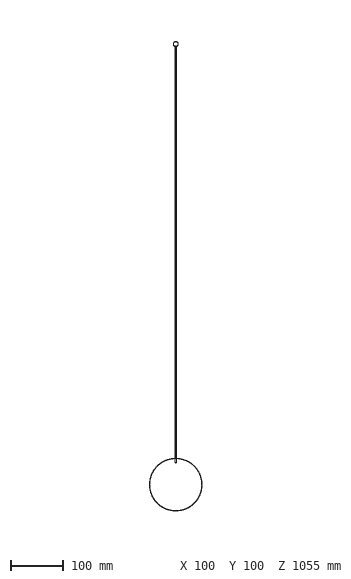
import cadquery as cq

total_height = 1055.0
ball_diameter = 100.0
knob_diameter = 10.0
rod_diameter = 2.0

ball_radius = ball_diameter / 2
knob_radius = knob_diameter / 2
knob_center_z = total_height - ball_radius - knob_radius

ball = cq.Workplane("XY").sphere(ball_radius)
knob = cq.Workplane("XY").sphere(knob_radius).translate((0, 0, knob_center_z))

rod = cq.Workplane("XY").circle(rod_diameter / 2).extrude(knob_center_z)

result = ball.union(rod).union(knob)